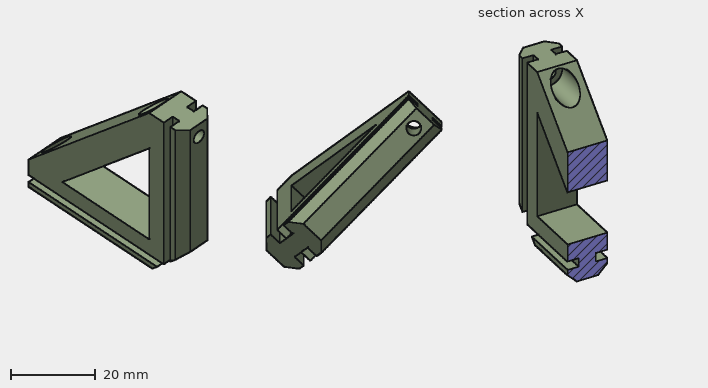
import cadquery as cq

side = 51.3
width = 10.8

rail_chamfer = 2.5
groove_start = 4.1
groove_end = 6.3
neck_width = 4.8

end_height = 11.2
frame_wall = 11.2
window_leg = 28.85
corner_cut = 2 * groove_end

hole_inset = 3.95
hole_diameter = 3.5
bore_diameter = 7.0
bore_floor = 7.5


def mirror_legs(solid):
    """Swap the bottom leg and the +X leg about the diagonal x + z = side."""
    return solid.mirror(cq.Vector(1, 0, 1), (side, 0, 0))


def make_frame():
    outline = [
        (0, 0),
        (side - corner_cut, 0),
        (side, corner_cut),
        (side, side),
        (side - end_height, side),
        (0, end_height),
    ]
    corner_x = side - frame_wall
    window = [
        (corner_x, frame_wall),
        (corner_x, frame_wall + window_leg),
        (corner_x - window_leg, frame_wall),
    ]
    frame = cq.Workplane("XZ").polyline(outline).close().extrude(width / 2, both=True)
    opening = cq.Workplane("XZ").polyline(window).close().extrude(width / 2, both=True)
    return frame.cut(opening)


def make_rail_cutter():
    """Grooves and edge chamfers on both sides of the bottom rail."""
    half = width / 2
    groove_depth = half - neck_width / 2
    groove = (
        cq.Workplane("YZ")
        .moveTo(neck_width / 2, groove_start)
        .rect(groove_depth, groove_end - groove_start, centered=False)
        .extrude(side)
    )
    edge = (
        cq.Workplane("YZ")
        .polyline([(half - rail_chamfer, 0), (half, 0), (half, rail_chamfer)])
        .close()
        .extrude(side)
    )
    one_side = groove.union(edge)
    return one_side.union(one_side.mirror("XZ"))


def make_hole_cutter():
    """Vertical screw hole through the bottom leg, counterbored from the slope."""
    hole = cq.Workplane("XY").center(hole_inset, 0).circle(hole_diameter / 2).extrude(side)
    bore = (
        cq.Workplane("XY", origin=(hole_inset, 0, bore_floor))
        .circle(bore_diameter / 2)
        .extrude(side - bore_floor)
    )
    return hole.union(bore)


result = make_frame()
for cutter in (make_rail_cutter(), make_hole_cutter()):
    result = result.cut(cutter).cut(mirror_legs(cutter))